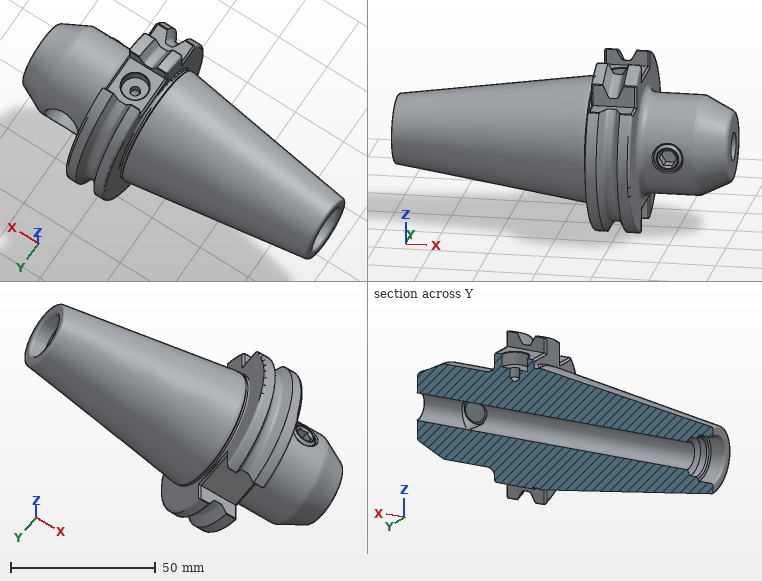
import cadquery as cq
import math

LENGTH = 118.4
CUT_CLEARANCE = 1.2

TAPER_RATIO = 7 / 24
GAUGE_X = 68.8
GAUGE_RADIUS = 22.3
TAPER_END_RADIUS = GAUGE_RADIUS - GAUGE_X * TAPER_RATIO / 2
TAPER_END_FILLET = 1.0
GAUGE_LAND = 1.1
RELIEF_RADIUS = 21.9
RELIEF_FILLET = 0.6

FLANGE_START = 71.5
FLANGE_END = 87.5
FLANGE_DIAMETER = 63.3
FLANGE_RADIUS = FLANGE_DIAMETER / 2
FLANGE_FILLET = 1.0
GROOVE_X = 79.3
GROOVE_FLOOR_RADIUS = 28.0
GROOVE_FLOOR_WIDTH = 3.1
GROOVE_FILLET = 1.2
GROOVE_SIDE_ANGLE = 30

SLOT_WIDTH = 16.1
TOP_SLOT_FLOOR = 25.0
BOTTOM_SLOT_FLOOR = 22.5
NOTCH_OFFSET = 18.2
SLOT_EDGE_CHAMFER = 0.7
SLOT_RIM_CHAMFER = 0.2

POCKET_RADIUS = 5.0
POCKET_DEPTH = 4.7
POCKET_CHAMFER = 0.2
PILOT_RADIUS = 1.8
PILOT_DEPTH = 3.5
DRILL_TIP_ANGLE = 118

NOSE_RADIUS = 17.5
NECK_FILLET = 3.0
NOSE_CONE_START = 107.7
NOSE_CONE_SLOPE = 0.5
NOSE_TIP_RADIUS = NOSE_RADIUS - (LENGTH - NOSE_CONE_START) * NOSE_CONE_SLOPE
NOSE_SHOULDER_FILLET = 2.6
NOSE_TIP_FILLET = 2.0

BORE_RADIUS = 5.0
MOUTH_RADIUS = 8.4
MOUTH_DEPTH = 5.7
MOUTH_FILLET = 1.0
THREAD_RADIUS = 7.0
MOUTH_CONE = 0.4
THREAD_CHAMFER = 0.6
THREAD_END = 9.1
THREAD_CONE = 1.2

SCREW_X = 98.3
SCREW_RADIUS = 5.0
SCREW_TOP = 17.4
SCREW_LENGTH = 12.0
SCREW_CHAMFER = 1.1
SCREW_HOLE_CHAMFER = 0.5
SOCKET_WIDTH = 5.3
SOCKET_DEPTH = 5.0
SOCKET_TURN = 30
SOCKET_COUNTERSINK_RADIUS = 3.5
BALANCE_HOLE_RADIUS = 7.0
BALANCE_HOLE_DEPTH = 7.1


def revolve_about_x(sketch):
    return sketch.close().revolve(360, (0, 0, 0), (1, 0, 0))


def radial_cylinder(radius, x, start, end, direction):
    """Cylinder along a radial direction, from `start` to `end` away from the axis."""
    base = cq.Vector(x, 0, 0) + direction * start
    return cq.Workplane(cq.Solid.makeCylinder(radius, end - start, base, direction))


def make_taper():
    land_end = GAUGE_X + GAUGE_LAND
    relief_depth = GAUGE_RADIUS - RELIEF_RADIUS
    taper = revolve_about_x(
        cq.Workplane("XZ")
        .lineTo(0, TAPER_END_RADIUS)
        .lineTo(GAUGE_X, GAUGE_RADIUS)
        .lineTo(land_end, GAUGE_RADIUS)
        .lineTo(land_end + relief_depth, RELIEF_RADIUS)
        .lineTo(FLANGE_START - RELIEF_FILLET, RELIEF_RADIUS)
        .radiusArc((FLANGE_START, RELIEF_RADIUS + RELIEF_FILLET), -RELIEF_FILLET)
        .lineTo(FLANGE_START, 0)
    )
    return taper.faces("<X").edges().fillet(TAPER_END_FILLET)


def make_nose():
    nose = revolve_about_x(
        cq.Workplane("XZ")
        .moveTo(FLANGE_END, 0)
        .lineTo(FLANGE_END, NOSE_RADIUS + NECK_FILLET)
        .radiusArc((FLANGE_END + NECK_FILLET, NOSE_RADIUS), -NECK_FILLET)
        .lineTo(NOSE_CONE_START, NOSE_RADIUS)
        .lineTo(LENGTH, NOSE_TIP_RADIUS)
        .lineTo(LENGTH, 0)
    )

    margin = 0.1
    reach = 2 * NOSE_RADIUS
    shoulder = cq.selectors.BoxSelector(
        (NOSE_CONE_START - margin, -reach, -reach),
        (NOSE_CONE_START + margin, reach, reach),
        boundingbox=True,
    )
    nose = nose.edges(shoulder).fillet(NOSE_SHOULDER_FILLET)
    return nose.faces(">X").edges().fillet(NOSE_TIP_FILLET)


def make_gripper_groove():
    depth = FLANGE_RADIUS - GROOVE_FLOOR_RADIUS
    half_floor = GROOVE_FLOOR_WIDTH / 2
    half_mouth = half_floor + depth * math.tan(math.radians(GROOVE_SIDE_ANGLE))
    groove = revolve_about_x(
        cq.Workplane("XZ")
        .moveTo(GROOVE_X - half_floor, GROOVE_FLOOR_RADIUS)
        .lineTo(GROOVE_X + half_floor, GROOVE_FLOOR_RADIUS)
        .lineTo(GROOVE_X + half_mouth, FLANGE_RADIUS)
        .lineTo(GROOVE_X + half_mouth, FLANGE_RADIUS + CUT_CLEARANCE)
        .lineTo(GROOVE_X - half_mouth, FLANGE_RADIUS + CUT_CLEARANCE)
        .lineTo(GROOVE_X - half_mouth, FLANGE_RADIUS)
    )
    floor_edges = cq.selectors.RadiusNthSelector(0)
    return groove.edges(floor_edges).fillet(GROOVE_FILLET)


def flange_cut(y_min, y_max, z_min, z_max):
    """Block through the flange along X, flared at both flange faces to chamfer the edges."""
    width = y_max - y_min
    height = z_max - z_min
    center = ((y_min + y_max) / 2, (z_min + z_max) / 2)
    block = (
        cq.Workplane("YZ", origin=(FLANGE_START, 0, 0))
        .center(*center).rect(width, height).extrude(FLANGE_END - FLANGE_START)
    )
    for face_x, inward in ((FLANGE_START, 1), (FLANGE_END, -1)):
        flare = (
            cq.Workplane("YZ", origin=(face_x, 0, 0))
            .center(*center)
            .rect(width + 2 * SLOT_EDGE_CHAMFER, height + 2 * SLOT_EDGE_CHAMFER)
            .workplane(offset=inward * SLOT_EDGE_CHAMFER)
            .rect(width, height)
            .loft(ruled=True)
        )
        block = block.union(flare)
    return block


def slot_rim_edges():
    """Selector of the straight edges where slot and notch walls meet the flange rim."""
    half_slot = SLOT_WIDTH / 2
    slot_top = math.sqrt(FLANGE_RADIUS**2 - half_slot**2)
    notch_end = math.sqrt(FLANGE_RADIUS**2 - NOTCH_OFFSET**2)
    corners = (
        (half_slot, slot_top), (-half_slot, slot_top),
        (half_slot, -slot_top), (-half_slot, -slot_top),
        (-NOTCH_OFFSET, notch_end), (-notch_end, NOTCH_OFFSET),
    )
    margin = 0.1
    boxes = [
        cq.selectors.BoxSelector(
            (FLANGE_START, y - margin, z - margin),
            (FLANGE_END, y + margin, z + margin),
            boundingbox=True,
        )
        for y, z in corners
    ]
    selector = boxes[0]
    for box in boxes[1:]:
        selector = selector + box
    return selector


def make_flange():
    flange = (
        cq.Workplane("YZ", origin=(FLANGE_START, 0, 0))
        .circle(FLANGE_RADIUS).extrude(FLANGE_END - FLANGE_START)
        .edges().fillet(FLANGE_FILLET)
    )
    half_slot = SLOT_WIDTH / 2
    outside = FLANGE_RADIUS + CUT_CLEARANCE
    flange = flange.cut(flange_cut(-half_slot, half_slot, TOP_SLOT_FLOOR, outside))
    flange = flange.cut(flange_cut(-half_slot, half_slot, -outside, -BOTTOM_SLOT_FLOOR))
    flange = flange.cut(flange_cut(-outside, -NOTCH_OFFSET, NOTCH_OFFSET, outside))
    flange = flange.edges(slot_rim_edges()).chamfer(SLOT_RIM_CHAMFER)
    return flange.cut(make_gripper_groove())


def make_bore():
    thread_start = MOUTH_DEPTH + MOUTH_CONE
    cone_end = THREAD_END + THREAD_CONE
    mouth_rim = MOUTH_RADIUS + MOUTH_FILLET
    rim_middle = MOUTH_FILLET * (1 - math.sqrt(0.5))
    return revolve_about_x(
        cq.Workplane("XZ")
        .lineTo(0, mouth_rim)
        .threePointArc((rim_middle, MOUTH_RADIUS + rim_middle), (MOUTH_FILLET, MOUTH_RADIUS))
        .lineTo(MOUTH_DEPTH, MOUTH_RADIUS)
        .lineTo(thread_start, THREAD_RADIUS + THREAD_CHAMFER)
        .lineTo(thread_start + THREAD_CHAMFER, THREAD_RADIUS)
        .lineTo(THREAD_END, THREAD_RADIUS)
        .lineTo(cone_end, BORE_RADIUS)
        .lineTo(LENGTH, BORE_RADIUS)
        .lineTo(LENGTH, 0)
    )


def make_slot_pocket():
    """Chamfered pocket below the top slot floor, with a drilled pilot hole in its own floor."""
    pocket_floor = TOP_SLOT_FLOOR - POCKET_DEPTH
    pilot_end = pocket_floor - PILOT_DEPTH
    tip_depth = PILOT_RADIUS / math.tan(math.radians(DRILL_TIP_ANGLE / 2))
    return (
        cq.Workplane("XZ", origin=(GROOVE_X, 0, 0))
        .moveTo(0, pilot_end - tip_depth)
        .lineTo(PILOT_RADIUS, pilot_end)
        .lineTo(PILOT_RADIUS, pocket_floor)
        .lineTo(POCKET_RADIUS, pocket_floor)
        .lineTo(POCKET_RADIUS, TOP_SLOT_FLOOR - POCKET_CHAMFER)
        .lineTo(POCKET_RADIUS + POCKET_CHAMFER, TOP_SLOT_FLOOR)
        .lineTo(0, TOP_SLOT_FLOOR)
        .close()
        .revolve(360, (0, 0, 0), (0, 1, 0))
    )


def cut_screw_hole(body):
    outward = cq.Vector(0, -1, 0)
    hole = radial_cylinder(SCREW_RADIUS, SCREW_X, 0, NOSE_RADIUS + CUT_CLEARANCE, outward)
    rim_depth = math.sqrt(NOSE_RADIUS**2 - SCREW_RADIUS**2)
    margin = 0.6
    reach = SCREW_RADIUS + margin
    rim = cq.selectors.BoxSelector(
        (SCREW_X - reach, -NOSE_RADIUS - margin, -reach),
        (SCREW_X + reach, -rim_depth + margin, reach),
        boundingbox=True,
    )
    return body.cut(hole).edges(rim).chamfer(SCREW_HOLE_CHAMFER)


def make_holder():
    holder = make_taper().union(make_flange()).union(make_nose())
    holder = cut_screw_hole(holder.cut(make_bore()))

    balance_floor = NOSE_RADIUS - BALANCE_HOLE_DEPTH
    balance_hole = radial_cylinder(
        BALANCE_HOLE_RADIUS, SCREW_X, balance_floor, NOSE_RADIUS + CUT_CLEARANCE, cq.Vector(0, 1, 0)
    )
    return holder.cut(make_slot_pocket()).cut(balance_hole)


def make_clamping_screw():
    outward = cq.Vector(0, -1, 0)
    screw = radial_cylinder(SCREW_RADIUS, SCREW_X, SCREW_TOP - SCREW_LENGTH, SCREW_TOP, outward)
    screw = screw.edges().chamfer(SCREW_CHAMFER)

    socket = (
        cq.Workplane("XZ", origin=(SCREW_X, -SCREW_TOP, 0))
        .transformed(rotate=(0, 0, SOCKET_TURN))
        .polygon(6, SOCKET_WIDTH, circumscribed=True).extrude(-SOCKET_DEPTH)
    )
    countersink = cq.Workplane(
        cq.Solid.makeCone(
            SOCKET_COUNTERSINK_RADIUS, 0, SOCKET_COUNTERSINK_RADIUS,
            cq.Vector(SCREW_X, -SCREW_TOP, 0), cq.Vector(0, 1, 0),
        )
    )
    return screw.cut(socket).cut(countersink)


holder = make_holder()
clamping_screw = make_clamping_screw()
result = cq.Compound.makeCompound([holder.solids().val(), clamping_screw.solids().val()])